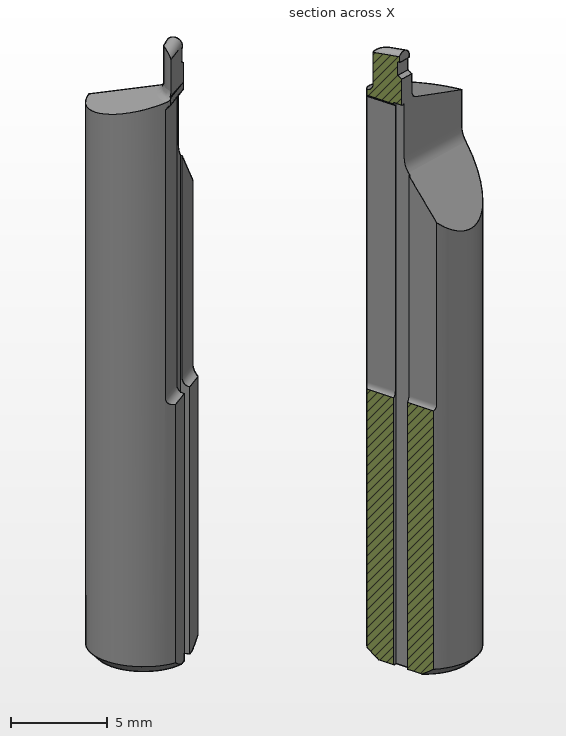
import cadquery as cq
import math

shank_radius = 3.0
total_length = 35.0
end_chamfer = 0.5
clamp_flat_x = 2.35

neck_flat_x = 1.94
neck_start_z = 15.1
neck_run_out_radius = 0.45

rake_face_y = 0.1
slope_start_z = 25.1
slope_angle = 40.0
slope_fillet = 1.25

shoulder_low_z = 31.08
shoulder_angle = 15.0
shoulder_tilt = 3.5

groove_bottom_x = 1.86
groove_low_y = -0.42
groove_top_y = 0.47

head_start_z = 32.05
tip_inner_x = 1.22
tip_outer_x = 2.14
tip_back_radius = 3.0
tip_back_centre = (4.12, 0.39)
tip_root_fillet = 0.5
tip_end_relief_angle = 8.0
tip_side_relief_angle = 2.0

edge_y = -0.05
chip_groove_y = -0.15
chip_groove_top_z = 34.45
chip_groove_low_z = 33.55
chip_groove_ramp = 0.15

clear = 2 * shank_radius
stock_margin = 0.25
stock_x = clamp_flat_x + stock_margin
nose_start_z = 33.2
root_top_z = 32.8
root_margin = 0.05


def tan_deg(angle):
    return math.tan(math.radians(angle))


def shoulder_z(x):
    """Height of the shoulder at the rake face for a given X."""
    return shoulder_low_z + (x + shank_radius) * tan_deg(shoulder_angle)


def box(x_range, y_range, z_range):
    """Axis-aligned box between the given limits."""
    size = [high - low for low, high in (x_range, y_range, z_range)]
    corner = (x_range[0], y_range[0], z_range[0])
    return cq.Workplane("XY").box(*size, centered=False).translate(corner)


def make_bar():
    """Round bar with a chamfered lower end and the clamping flat on +X."""
    bar = cq.Workplane("XY").circle(shank_radius).extrude(total_length)
    bar = bar.faces("<Z").chamfer(end_chamfer)
    return bar.cut(box((clamp_flat_x, clear), (-clear, clear), (0, total_length)))


def make_head_stock():
    """Oversize stock bounded by the shoulder, with the tip column rounded into it."""
    column = (
        cq.Workplane("XY", origin=(*tip_back_centre, head_start_z))
        .circle(tip_back_radius)
        .extrude(total_length - head_start_z)
        .intersect(box((tip_inner_x, stock_x), (-clear, clear), (0, total_length)))
    )
    tilt_pivot_z = shoulder_z(0)
    shoulder = (
        cq.Workplane("XZ")
        .moveTo(-clear, -total_length)
        .lineTo(-clear, shoulder_z(-clear))
        .lineTo(stock_x, shoulder_z(stock_x))
        .lineTo(stock_x, -total_length)
        .close()
        .extrude(clear, both=True)
        .rotate((0, rake_face_y, tilt_pivot_z), (1, rake_face_y, tilt_pivot_z), shoulder_tilt)
    )
    root = cq.selectors.BoxSelector(
        (tip_inner_x - root_margin, -shank_radius, head_start_z),
        (stock_x - root_margin, shank_radius, root_top_z),
    )
    return shoulder.union(column).edges(root).fillet(tip_root_fillet)


def make_neck_cut():
    """Relief of the +X side between a rounded run-out and the overhanging head."""
    depth = clamp_flat_x - neck_flat_x
    arc_centre_x = neck_flat_x + neck_run_out_radius
    sweep = math.acos(1 - depth / neck_run_out_radius)
    arc_centre_z = neck_start_z + neck_run_out_radius * math.sin(sweep)
    arc_mid = (
        arc_centre_x - neck_run_out_radius * math.cos(sweep / 2),
        arc_centre_z - neck_run_out_radius * math.sin(sweep / 2),
    )
    overhang = tip_outer_x - neck_flat_x
    return (
        cq.Workplane("XZ")
        .moveTo(clamp_flat_x, neck_start_z)
        .threePointArc(arc_mid, (neck_flat_x, arc_centre_z))
        .lineTo(neck_flat_x, head_start_z - overhang)
        .lineTo(tip_outer_x, head_start_z)
        .lineTo(tip_outer_x, total_length)
        .lineTo(clear, total_length)
        .lineTo(clear, neck_start_z)
        .close()
        .extrude(clear, both=True)
    )


def make_coolant_groove():
    """Straight groove along the +X side, ending under the head."""
    return box((groove_bottom_x, clear), (groove_low_y, groove_top_y), (0, head_start_z))


def make_rake_cut():
    """Removal of the +Y half, running out in a filleted slope."""
    knee_z = slope_start_z + (shank_radius - rake_face_y) / tan_deg(slope_angle)
    low_z = slope_start_z - (clear - shank_radius) / tan_deg(slope_angle)
    cut = (
        cq.Workplane("YZ")
        .moveTo(clear, low_z)
        .lineTo(rake_face_y, knee_z)
        .lineTo(rake_face_y, total_length + clear)
        .lineTo(clear, total_length + clear)
        .close()
        .extrude(clear, both=True)
    )
    knee = cq.selectors.NearestToPointSelector((0, rake_face_y, knee_z))
    return cut.edges(knee).fillet(slope_fillet)


def make_nose_envelope():
    """Full-round nose swept along Y and tilted down toward -Y for end relief."""
    nose_radius = (tip_outer_x - tip_inner_x) / 2
    nose_centre_z = total_length - nose_radius
    envelope = (
        cq.Workplane("XZ")
        .moveTo(tip_inner_x, nose_centre_z - clear)
        .lineTo(tip_inner_x, nose_centre_z)
        .threePointArc((tip_inner_x + nose_radius, total_length), (tip_outer_x, nose_centre_z))
        .lineTo(tip_outer_x, nose_centre_z - clear)
        .close()
        .extrude(clear, both=True)
    )
    pivot = (0, edge_y, total_length)
    return envelope.rotate(pivot, (1, edge_y, total_length), tip_end_relief_angle)


def make_side_relief():
    """Thin wedge off the outer side of the tip, widening away from the edge."""
    heel_relief = (clear + edge_y) * tan_deg(tip_side_relief_angle)
    return (
        cq.Workplane("XY", origin=(0, 0, shoulder_z(tip_outer_x)))
        .moveTo(tip_outer_x, edge_y)
        .lineTo(tip_outer_x - heel_relief, -clear)
        .lineTo(clear, -clear)
        .lineTo(clear, edge_y)
        .close()
        .extrude(clear)
    )


def make_chip_groove():
    """Setback of the cutting edge and the shallow groove below it."""
    return (
        cq.Workplane("YZ")
        .moveTo(clear, chip_groove_low_z)
        .lineTo(rake_face_y, chip_groove_low_z)
        .lineTo(chip_groove_y, chip_groove_low_z + chip_groove_ramp)
        .lineTo(chip_groove_y, chip_groove_top_z)
        .lineTo(edge_y, chip_groove_top_z)
        .lineTo(edge_y, total_length + clear)
        .lineTo(clear, total_length + clear)
        .close()
        .extrude(clear, both=True)
    )


def round_nose(tool):
    """Trim the end of the tip to the full-round nose."""
    nose_zone = box((-clear, clear), (-clear, clear), (nose_start_z, total_length))
    nose = tool.intersect(nose_zone).intersect(make_nose_envelope())
    return tool.cut(nose_zone).union(nose)


shank = make_bar().intersect(make_head_stock())
shank = shank.cut(make_neck_cut())
shank = shank.cut(make_coolant_groove())
shank = shank.cut(make_rake_cut())
result = round_nose(shank)
result = result.cut(make_side_relief())
result = result.cut(make_chip_groove())